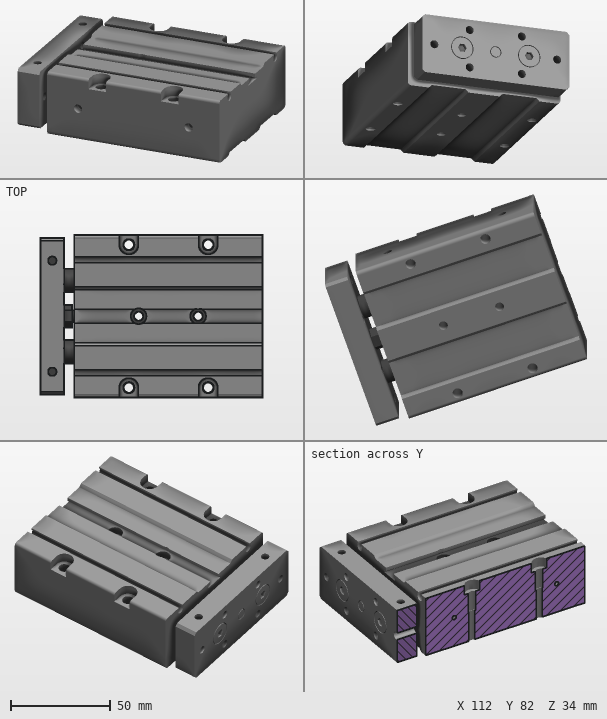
import cadquery as cq
import math


total_length = 112.0
housing_length = 95.0
plate_thickness = 12.0
housing_start = total_length - housing_length
cut_margin = 1.1

housing_width = 82.0
housing_height = 34.0
housing_top_edge_radius = 1.6
housing_bottom_edge_radius = 2.0
housing_top = housing_height / 2
housing_bottom = -housing_height / 2
housing_side = housing_width / 2

channel_depth = 1.6
top_channel_width = 29.9
bottom_channel_width = 21.3
bottom_channel_offset = 19.0

t_slot_mouth_width = 7.0
t_slot_lip_height = 2.0
t_slot_width = 10.0
t_slot_undercut_height = 1.3
t_slot_ledge = housing_top - channel_depth - t_slot_lip_height
t_slot_floor = t_slot_ledge - t_slot_undercut_height

sensor_slot_offset = 28.5
sensor_mouth_width = 3.0
sensor_mouth_depth = 0.9
sensor_channel_width = 4.5
sensor_slot_depth = 4.4

mount_first_x = 44.6
mount_spacing_x = 40.0
mount_spacing_y = 72.0
mount_pocket_width = 9.6
mount_pocket_depth = 5.4
mount_entry_diameter = 5.7
mount_entry_depth = 11.2
mount_hole_diameter = 5.2

notched_hole_x = 49.5
plain_hole_x = 79.5
centre_hole_diameter = 4.5
centre_counterbore_diameter = 8.0
centre_counterbore_depth = 4.5

port_xs = (34.0, 95.1)
port_diameter = 4.5
port_depth = 5.0
port_passage_diameter = 2.0
port_passage_depth = 9.0

rod_diameter = 12.0
rod_spacing = 36.0
rod_insertion = 44.8
rod_offsets = (-rod_spacing / 2, rod_spacing / 2)
rod_socket_flats = 4.0
rod_socket_depth = 2.2

plate_width = 79.0
plate_height = 31.0
plate_edge_chamfer = 1.5
plate_hole_diameter = 4.3
plate_side_hole_spacing = 66.0
plate_inner_hole_spacing_y = 28.0
plate_inner_hole_spacing_z = 20.0
plate_top_hole_diameter = 4.3
plate_top_hole_spacing = 56.0
plate_top_hole_depth = 10.0

bolt_diameter = 6.0
nut_flats = 10.0
nut_thickness = 4.0

end_ring_width = 0.5
end_ring_depth = 1.1


def hexagon_diameter(flats):
    """Diameter across the corners of a hexagon with the given width across flats."""
    return flats / math.cos(math.pi / 6)


def x_cylinder(diameter, start, end, y=0.0):
    """Cylinder along X at mid-height."""
    return cq.Workplane("YZ", origin=(start, y, 0)).circle(diameter / 2).extrude(end - start)


def z_cylinder(diameter, bottom, top, x, y):
    """Cylinder along Z."""
    return cq.Workplane("XY", origin=(x, y, bottom)).circle(diameter / 2).extrude(top - bottom)


def end_ring(diameter, y):
    """Clearance ring just inside the given diameter at the outer face of the plate."""
    core_diameter = diameter - 2 * end_ring_width
    return x_cylinder(diameter, 0, end_ring_depth, y).cut(x_cylinder(core_diameter, 0, end_ring_depth, y))


def along_housing(outline):
    """Extrude a closed YZ outline over the full length of the housing."""
    return outline.extrude(housing_length)


def housing_section():
    return cq.Workplane("YZ", origin=(housing_start, 0, 0))


def channel(mouth_width, offset, surface, inward):
    """Channel with 45 degree walls; inward is the Z direction (+1 or -1) into the material."""
    half_mouth = mouth_width / 2
    half_floor = half_mouth - channel_depth
    floor = surface + inward * channel_depth
    corners = [
        (offset - half_mouth, surface),
        (offset + half_mouth, surface),
        (offset + half_floor, floor),
        (offset - half_floor, floor),
    ]
    return along_housing(housing_section().polyline(corners).close())


def t_slot():
    mouth_height = housing_top - t_slot_ledge
    mouth_middle = (housing_top + t_slot_ledge) / 2
    undercut_middle = (t_slot_ledge + t_slot_floor) / 2
    mouth = along_housing(housing_section().center(0, mouth_middle).rect(t_slot_mouth_width, mouth_height))
    undercut = along_housing(
        housing_section().center(0, undercut_middle).rect(t_slot_width, t_slot_undercut_height)
    )
    return mouth.union(undercut)


def sensor_slot(offset):
    half_mouth = sensor_mouth_width / 2
    radius = sensor_channel_width / 2
    ledge = housing_top - sensor_mouth_depth
    slot_bottom = housing_top - sensor_slot_depth
    outline = (
        housing_section()
        .moveTo(offset - half_mouth, housing_top)
        .lineTo(offset - half_mouth, ledge)
        .lineTo(offset - radius, ledge)
        .lineTo(offset - radius, slot_bottom + radius)
        .threePointArc((offset, slot_bottom), (offset + radius, slot_bottom + radius))
        .lineTo(offset + radius, ledge)
        .lineTo(offset + half_mouth, ledge)
        .lineTo(offset + half_mouth, housing_top)
        .close()
    )
    return along_housing(outline)


def mount_hole(x, side):
    """Stepped through hole in a counterbore that opens to the side wall (side is +1 or -1)."""
    y = side * mount_spacing_y / 2
    pocket_floor = housing_top - mount_pocket_depth
    opening_length = housing_side + cut_margin - mount_spacing_y / 2
    round_end = z_cylinder(mount_pocket_width, pocket_floor, housing_top, x, y)
    opening = (
        cq.Workplane("XY", origin=(x, y + side * opening_length / 2, pocket_floor))
        .rect(mount_pocket_width, opening_length)
        .extrude(mount_pocket_depth)
    )
    entry = z_cylinder(mount_entry_diameter, pocket_floor - mount_entry_depth, housing_top, x, y)
    through = z_cylinder(mount_hole_diameter, housing_bottom, housing_top, x, y)
    return round_end.union(opening).union(entry).union(through)


def centre_hole(x, counterbore_top):
    counterbore_floor = t_slot_floor - centre_counterbore_depth
    counterbore = z_cylinder(centre_counterbore_diameter, counterbore_floor, counterbore_top, x, 0)
    through = z_cylinder(centre_hole_diameter, housing_bottom, t_slot_floor, x, 0)
    return counterbore.union(through)


def air_port(x):
    """Port in the -Y side with a narrow passage at its bottom."""
    face = cq.Workplane("XZ", origin=(x, -housing_side, 0))
    port = face.circle(port_diameter / 2).extrude(-port_depth)
    passage = face.circle(port_passage_diameter / 2).extrude(-port_passage_depth)
    return port.union(passage)


def make_housing():
    body = along_housing(housing_section().rect(housing_width, housing_height))
    body = body.edges("|X and >Z").fillet(housing_top_edge_radius)
    body = body.edges("|X and <Z").fillet(housing_bottom_edge_radius)

    body = body.cut(channel(top_channel_width, 0, housing_top, -1))
    body = body.cut(t_slot())
    for side in (-1, 1):
        body = body.cut(channel(bottom_channel_width, side * bottom_channel_offset, housing_bottom, 1))
        body = body.cut(sensor_slot(side * sensor_slot_offset))
        for x in (mount_first_x, mount_first_x + mount_spacing_x):
            body = body.cut(mount_hole(x, side))

    body = body.cut(centre_hole(notched_hole_x, housing_top))
    body = body.cut(centre_hole(plain_hole_x, t_slot_floor))
    for x in port_xs:
        body = body.cut(air_port(x))
    for y in rod_offsets:
        body = body.cut(x_cylinder(rod_diameter, housing_start, housing_start + rod_insertion, y))
    return body


def make_plate():
    """Tool plate with its threaded holes."""
    plate = cq.Workplane("YZ").rect(plate_width, plate_height).extrude(plate_thickness)
    plate = plate.edges("|X").chamfer(plate_edge_chamfer)

    face_holes = (
        cq.Workplane("YZ")
        .rarray(plate_inner_hole_spacing_y, plate_inner_hole_spacing_z, 2, 2)
        .circle(plate_hole_diameter / 2)
        .extrude(plate_thickness)
    )
    plate = plate.cut(face_holes)
    for side in (-1, 1):
        y = side * plate_side_hole_spacing / 2
        plate = plate.cut(x_cylinder(plate_hole_diameter, 0, plate_thickness, y))

    top = plate_height / 2
    for side in (-1, 1):
        y = side * plate_top_hole_spacing / 2
        top_hole = z_cylinder(
            plate_top_hole_diameter, top - plate_top_hole_depth, top, plate_thickness / 2, y
        )
        plate = plate.cut(top_hole)
    return plate


def make_slide():
    """Tool plate together with the guide rods, stop bolt and lock nut fixed to it."""
    slide = make_plate()

    for y in rod_offsets:
        slide = slide.union(x_cylinder(rod_diameter, 0, housing_start + rod_insertion, y))
        slide = slide.cut(end_ring(rod_diameter, y))
        socket = (
            cq.Workplane("YZ", origin=(0, y, 0))
            .polygon(6, hexagon_diameter(rod_socket_flats))
            .extrude(rod_socket_depth)
        )
        slide = slide.cut(socket)

    slide = slide.union(x_cylinder(bolt_diameter, 0, housing_start))
    slide = slide.cut(end_ring(bolt_diameter, 0))
    lock_nut = (
        cq.Workplane("YZ", origin=(plate_thickness, 0, 0))
        .polygon(6, hexagon_diameter(nut_flats))
        .extrude(nut_thickness)
    )
    return slide.union(lock_nut)


housing = make_housing()
slide = make_slide()

result = cq.Compound.makeCompound([housing.solids().val(), slide.solids().val()])